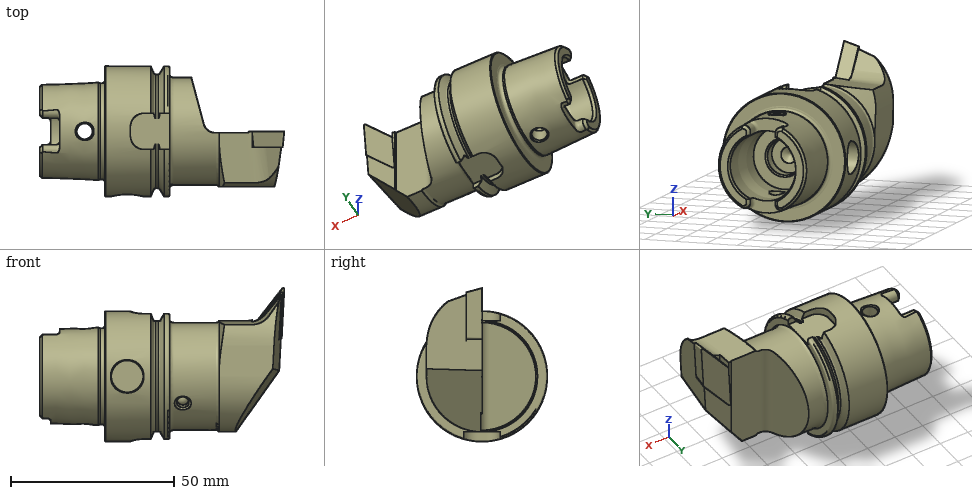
import cadquery as cq
import math


SHANK_CHAMFER = 0.75
SHANK_FRONT_RADIUS = 14.3
SHANK_REAR_RADIUS = 15.0
SHANK_TAPER_END = 17.9
RELIEF_RADIUS = 14.75
RELIEF_START = 18.6
RELIEF_END = 19.2
RELIEF_FILLET_END = 19.9
RELIEF_FILLET_RADIUS = 0.8
RELIEF_OUTER_RADIUS = 15.65
RELIEF_RIM_RADIUS = 16.0

FLANGE_RADIUS = 20.0
FLANGE_FRONT = 20.0
FLANGE_REAR = 39.85
FLANGE_CHAMFER = 0.2
FLANGE_REAR_FILLET = 0.7
GROOVE_FRONT = 34.0
GROOVE_FLOOR_FRONT = 35.0
GROOVE_FLOOR_REAR = 36.8
GROOVE_REAR = 38.1
GROOVE_RADIUS = 17.45
GROOVE_WALL_FOOT_RADIUS = 17.8
GROOVE_FILLET_LENGTH = 0.5
GROOVE_FILLET_RADIUS = 0.6

NECK_RADIUS = 16.5
NECK_FILLET_RADIUS = 1.5
NECK_FILLET_LENGTH = 1.1
NECK_FILLET_HEIGHT = 0.5
NECK_END = 54.0
HEAD_FILLET_RADIUS = 1.05
HEAD_RADIUS = 17.0
HEAD_START = 54.9
BODY_REACH = 76.4

BORE_MOUTH_RADIUS = 11.1
BORE_RADIUS = 10.6
BORE_CHAMFER = 1.05
BORE_CONE_START = 8.2
BORE_CONE_END = 13.6
BORE_INNER_RADIUS = 9.9
BORE_DEPTH = 20.0
COOLANT_MOUTH_RADIUS = 6.1
COOLANT_RADIUS = 5.55
COOLANT_DEPTH = 4.5
CENTER_DRILL_RADIUS = 2.55
CENTER_DRILL_CONE = 1.5

KEYWAY_HALF_WIDTH = 4.05
KEYWAY_EDGE_RADIUS = 1.9
KEYWAY_SHOULDER_HEIGHT = 12.9
KEYWAY_ROOT_RADIUS = 1.0
KEYWAY_CHAMFER = 1.0
KEYWAY_DEPTH_TOP = 6.15
KEYWAY_DEPTH_BOTTOM = 3.4

CROSS_HOLE_X = 13.8
CROSS_HOLE_RADIUS = 2.4
CROSS_HOLE_SINK_RADIUS = 2.85
CROSS_HOLE_MOUTH = 14.7

POCKET_START = 27.8
POCKET_HALF_WIDTH = 5.55
POCKET_CORNER_RADIUS = 4.2
POCKET_FLOOR = 17.0

SIDE_HOLE_X = 26.8
SIDE_HOLE_RADIUS = 5.1
SIDE_HOLE_FLOOR_Y = -14.3
SIDE_HOLE_FLOOR_CHAMFER = 0.2

BALL_X = 43.8
BALL_ANGLE = 30.0
BALL_RADIUS = 1.9
BALL_CENTER_RADIUS = 13.8
BALL_HOLE_CHAMFER = 0.7

INSERT_ANGLE = 35.0
INSERT_SIDE = 16.1
INSERT_THICKNESS = 4.9
INSERT_CLEARANCE = 5.0
INSERT_NOSE_RADIUS = 0.4
LEAD_ANGLE = 3.0
TOOL_LENGTH = 74.9
TIP_HEIGHT = 27.05

HEAD_RISE = 9.5
SHOULDER_SLOPE = 0.31
GASH_FLOOR = 17.1
GASH_FLOOR_END = 63.45
GASH_RADIUS = 7.0
GASH_ANGLE = math.radians(50.5)
GASH_DRIFT = cq.Vector(0.09, -1, -0.08)
END_FACE_X = 73.25
END_FACE_DRIFT = cq.Vector(-0.12, -1, 0)
END_FACE_FOOT = 1.8
HEEL_ANGLE = 54.7
HEEL_DRIFT = cq.Vector(-0.14, -1, 0)

RELIEF_TOP_X = 46.45
RELIEF_SLOPE_ANGLE = 75.0
RELIEF_FILLET = 3.45
HEAD_FACE_Y = -0.4
PAD_STEP_X = 63.75

MARGIN = 3.75
OUTSIDE = FLANGE_RADIUS + MARGIN
LEAD_SLOPE = math.tan(math.radians(LEAD_ANGLE))
FLANK_ANGLE = math.radians(90 - LEAD_ANGLE - INSERT_ANGLE)


def sweep_from_rake_plane(profile, drift, depth):
    """Prism on an XZ profile, running to Y = -depth along a slanted direction."""
    return cq.Workplane(cq.Solid.extrudeLinear(profile.val(), [], drift * depth))


def make_turned_body():
    return (
        cq.Workplane("XZ")
        .lineTo(0, SHANK_FRONT_RADIUS - SHANK_CHAMFER)
        .lineTo(SHANK_CHAMFER, SHANK_FRONT_RADIUS)
        .lineTo(SHANK_TAPER_END, SHANK_REAR_RADIUS)
        .lineTo(RELIEF_START, RELIEF_RADIUS)
        .lineTo(RELIEF_END, RELIEF_RADIUS)
        .radiusArc((RELIEF_FILLET_END, RELIEF_OUTER_RADIUS), -RELIEF_FILLET_RADIUS)
        .lineTo(FLANGE_FRONT, RELIEF_RIM_RADIUS)
        .lineTo(FLANGE_FRONT, FLANGE_RADIUS - FLANGE_CHAMFER)
        .lineTo(FLANGE_FRONT + FLANGE_CHAMFER, FLANGE_RADIUS)
        .lineTo(GROOVE_FRONT, FLANGE_RADIUS)
        .lineTo(GROOVE_FLOOR_FRONT, GROOVE_WALL_FOOT_RADIUS)
        .radiusArc((GROOVE_FLOOR_FRONT + GROOVE_FILLET_LENGTH, GROOVE_RADIUS), -GROOVE_FILLET_RADIUS)
        .lineTo(GROOVE_FLOOR_REAR - GROOVE_FILLET_LENGTH, GROOVE_RADIUS)
        .radiusArc((GROOVE_FLOOR_REAR, GROOVE_WALL_FOOT_RADIUS), -GROOVE_FILLET_RADIUS)
        .lineTo(GROOVE_REAR, FLANGE_RADIUS)
        .lineTo(FLANGE_REAR - FLANGE_REAR_FILLET, FLANGE_RADIUS)
        .radiusArc((FLANGE_REAR, FLANGE_RADIUS - FLANGE_REAR_FILLET), FLANGE_REAR_FILLET)
        .lineTo(FLANGE_REAR, NECK_RADIUS + NECK_FILLET_HEIGHT)
        .radiusArc((FLANGE_REAR + NECK_FILLET_LENGTH, NECK_RADIUS), -NECK_FILLET_RADIUS)
        .lineTo(NECK_END, NECK_RADIUS)
        .radiusArc((HEAD_START, HEAD_RADIUS), -HEAD_FILLET_RADIUS)
        .lineTo(BODY_REACH, HEAD_RADIUS)
        .lineTo(BODY_REACH, 0)
        .close()
        .revolve(360, (0, 0, 0), (1, 0, 0))
    )


def make_bore():
    coolant_sink = COOLANT_MOUTH_RADIUS - COOLANT_RADIUS
    coolant_floor = BORE_DEPTH + COOLANT_DEPTH
    return (
        cq.Workplane("XZ")
        .lineTo(0, BORE_MOUTH_RADIUS)
        .lineTo(BORE_CHAMFER, BORE_RADIUS)
        .lineTo(BORE_CONE_START, BORE_RADIUS)
        .lineTo(BORE_CONE_END, BORE_INNER_RADIUS)
        .lineTo(BORE_DEPTH, BORE_INNER_RADIUS)
        .lineTo(BORE_DEPTH, COOLANT_MOUTH_RADIUS)
        .lineTo(BORE_DEPTH + coolant_sink, COOLANT_RADIUS)
        .lineTo(coolant_floor, COOLANT_RADIUS)
        .lineTo(coolant_floor, CENTER_DRILL_RADIUS)
        .lineTo(coolant_floor + CENTER_DRILL_CONE, 0)
        .close()
        .revolve(360, (0, 0, 0), (1, 0, 0))
    )


def keyway_outline():
    """Upper keyway section: a slot whose outer edges round over into flat shoulders."""
    wall_top = KEYWAY_SHOULDER_HEIGHT - KEYWAY_EDGE_RADIUS
    shoulder_start = KEYWAY_HALF_WIDTH + KEYWAY_EDGE_RADIUS
    return (
        cq.Workplane("YZ")
        .moveTo(-KEYWAY_HALF_WIDTH, 0)
        .lineTo(KEYWAY_HALF_WIDTH, 0)
        .lineTo(KEYWAY_HALF_WIDTH, wall_top)
        .radiusArc((shoulder_start, KEYWAY_SHOULDER_HEIGHT), KEYWAY_EDGE_RADIUS)
        .lineTo(SHANK_REAR_RADIUS, KEYWAY_SHOULDER_HEIGHT)
        .lineTo(SHANK_REAR_RADIUS, OUTSIDE)
        .lineTo(-SHANK_REAR_RADIUS, OUTSIDE)
        .lineTo(-SHANK_REAR_RADIUS, KEYWAY_SHOULDER_HEIGHT)
        .lineTo(-shoulder_start, KEYWAY_SHOULDER_HEIGHT)
        .radiusArc((-KEYWAY_HALF_WIDTH, wall_top), KEYWAY_EDGE_RADIUS)
        .close()
    )


def make_keyway(depth):
    slot = keyway_outline().extrude(depth).faces(">X").edges().fillet(KEYWAY_ROOT_RADIUS)
    mouth = keyway_outline().offset2D(KEYWAY_CHAMFER).extrude(KEYWAY_CHAMFER, taper=45)
    return slot.union(mouth)


def make_cross_hole():
    """Hole through both walls of the shank, with a conical sink at each mouth."""
    sink_floor = CROSS_HOLE_MOUTH - (CROSS_HOLE_SINK_RADIUS - CROSS_HOLE_RADIUS)
    upper_half = (
        cq.Workplane("XZ", origin=(CROSS_HOLE_X, 0, 0))
        .lineTo(CROSS_HOLE_RADIUS, 0)
        .lineTo(CROSS_HOLE_RADIUS, sink_floor)
        .lineTo(CROSS_HOLE_SINK_RADIUS, CROSS_HOLE_MOUTH)
        .lineTo(CROSS_HOLE_SINK_RADIUS, OUTSIDE)
        .lineTo(0, OUTSIDE)
        .close()
        .revolve(360, (0, 0, 0), (0, 1, 0))
    )
    return upper_half.union(upper_half.mirror("XY"))


def make_flange_pocket():
    length = FLANGE_REAR + MARGIN - POCKET_START
    return (
        cq.Workplane("XY", origin=(POCKET_START + length / 2, 0, POCKET_FLOOR))
        .rect(length, 2 * POCKET_HALF_WIDTH)
        .extrude(MARGIN)
        .edges("|Z and <X")
        .fillet(POCKET_CORNER_RADIUS)
    )


def make_side_hole():
    return (
        cq.Workplane("XZ", origin=(SIDE_HOLE_X, SIDE_HOLE_FLOOR_Y, 0))
        .circle(SIDE_HOLE_RADIUS)
        .extrude(OUTSIDE)
        .faces(">Y")
        .edges()
        .chamfer(SIDE_HOLE_FLOOR_CHAMFER)
    )


def gash_profile():
    """Section of the raised head below its gash: floor, fillet and slope up to the tip."""
    arc_end_x = GASH_FLOOR_END + GASH_RADIUS * math.sin(GASH_ANGLE)
    arc_end_z = GASH_FLOOR + GASH_RADIUS * (1 - math.cos(GASH_ANGLE))
    top = TIP_HEIGHT + 2 * MARGIN
    top_x = arc_end_x + (top - arc_end_z) / math.tan(GASH_ANGLE)
    return (
        cq.Workplane("XZ")
        .moveTo(FLANGE_REAR, -MARGIN)
        .lineTo(FLANGE_REAR, GASH_FLOOR)
        .lineTo(GASH_FLOOR_END, GASH_FLOOR)
        .radiusArc((arc_end_x, arc_end_z), -GASH_RADIUS)
        .lineTo(top_x, top)
        .lineTo(top_x, -MARGIN)
        .close()
    )


def make_shoulder_cut():
    """Ring in front of the conical shoulder where the raised head rises above the round body."""
    outer_radius = HEAD_RISE + HEAD_RADIUS
    return (
        cq.Workplane("XZ")
        .moveTo(FLANGE_REAR, HEAD_RADIUS)
        .lineTo(HEAD_START, HEAD_RADIUS)
        .lineTo(HEAD_START + SHOULDER_SLOPE * (outer_radius - HEAD_RADIUS), outer_radius)
        .lineTo(FLANGE_REAR, outer_radius)
        .close()
        .revolve(360, (0, 0, 0), (1, 0, 0))
    )


def make_raised_head():
    """The round flank of the head carried upward, with the gash cut above it."""
    flank = (
        cq.Workplane("YZ", origin=(HEAD_START, 0, 0))
        .lineTo(-HEAD_RADIUS, 0)
        .lineTo(-HEAD_RADIUS, HEAD_RISE)
        .radiusArc((0, HEAD_RISE + HEAD_RADIUS), HEAD_RADIUS)
        .close()
        .extrude(BODY_REACH - HEAD_START)
    )
    below_gash = sweep_from_rake_plane(gash_profile(), GASH_DRIFT, OUTSIDE)
    return flank.intersect(below_gash).cut(make_shoulder_cut())


def make_back_relief():
    """Everything beside the head on the +Y side, with a sloped and filleted run-out."""
    slope = math.radians(RELIEF_SLOPE_ANGLE)
    corner_x = RELIEF_TOP_X + (NECK_RADIUS - HEAD_FACE_Y) / math.tan(slope)
    outer_x = RELIEF_TOP_X - (OUTSIDE - NECK_RADIUS) / math.tan(slope)
    pad_x = PAD_STEP_X - HEAD_FACE_Y
    return (
        cq.Workplane("XY", origin=(0, 0, -OUTSIDE))
        .moveTo(outer_x, OUTSIDE)
        .lineTo(corner_x, HEAD_FACE_Y)
        .lineTo(PAD_STEP_X, HEAD_FACE_Y)
        .lineTo(pad_x, 0)
        .lineTo(BODY_REACH + MARGIN, 0)
        .lineTo(BODY_REACH + MARGIN, OUTSIDE)
        .close()
        .extrude(2 * OUTSIDE + MARGIN)
        .edges(cq.selectors.NearestToPointSelector((corner_x, HEAD_FACE_Y, 0)))
        .fillet(RELIEF_FILLET)
    )


def make_end_face_cut():
    top = TIP_HEIGHT + 2 * MARGIN
    far = BODY_REACH + 2 * MARGIN
    profile = (
        cq.Workplane("XZ")
        .moveTo(END_FACE_X - LEAD_SLOPE * OUTSIDE, -OUTSIDE)
        .lineTo(END_FACE_X + LEAD_SLOPE * top, top)
        .lineTo(far, top)
        .lineTo(far, -OUTSIDE)
        .close()
    )
    return sweep_from_rake_plane(profile, END_FACE_DRIFT, OUTSIDE)


def make_heel_cut():
    """Sloped cut below the end face."""
    foot_x = END_FACE_X + LEAD_SLOPE * END_FACE_FOOT
    run = 1 / math.tan(math.radians(HEEL_ANGLE))
    far = BODY_REACH + 2 * MARGIN
    profile = (
        cq.Workplane("XZ")
        .moveTo(foot_x - run * (END_FACE_FOOT + OUTSIDE), -OUTSIDE)
        .lineTo(far, END_FACE_FOOT + (far - foot_x) / run)
        .lineTo(far, -OUTSIDE)
        .close()
    )
    return sweep_from_rake_plane(profile, HEEL_DRIFT, OUTSIDE)


def insert_corners():
    """Sharp corners of the rhombus in XZ; the rounded tip touches TOOL_LENGTH and TIP_HEIGHT."""
    half = math.radians(INSERT_ANGLE / 2)
    lead = math.radians(LEAD_ANGLE)
    center_to_corner = INSERT_NOSE_RADIUS / math.sin(half)
    tip_x = TOOL_LENGTH - INSERT_NOSE_RADIUS + center_to_corner * math.sin(lead + half)
    tip_z = TIP_HEIGHT - INSERT_NOSE_RADIUS + center_to_corner * math.cos(lead + half)
    back_x = INSERT_SIDE * math.cos(FLANK_ANGLE)
    back_z = INSERT_SIDE * math.sin(FLANK_ANGLE)
    down_x = INSERT_SIDE * math.sin(lead)
    down_z = INSERT_SIDE * math.cos(lead)
    return [
        (tip_x, tip_z),
        (tip_x - back_x, tip_z - back_z),
        (tip_x - back_x - down_x, tip_z - back_z - down_z),
        (tip_x - down_x, tip_z - down_z),
    ]


def make_insert():
    return (
        cq.Workplane("XZ")
        .polyline(insert_corners())
        .close()
        .extrude(INSERT_THICKNESS, taper=INSERT_CLEARANCE)
        .edges("not #Y")
        .fillet(INSERT_NOSE_RADIUS)
    )


def make_insert_opening():
    """Open space above the insert, reaching down into the room that its tapered side fills."""
    tip, back = insert_corners()[:2]
    overlap = INSERT_THICKNESS * math.tan(math.radians(INSERT_CLEARANCE)) / math.cos(FLANK_ANGLE)
    top = TIP_HEIGHT + MARGIN
    return (
        cq.Workplane("XZ")
        .polyline([(tip[0], tip[1] - overlap), (tip[0], top), (back[0], top), (back[0], back[1] - overlap)])
        .close()
        .extrude(INSERT_THICKNESS)
    )


def turn_to_ball_axis(shape):
    """Moves a shape built around the Z axis at X = 0 to the place of the coolant ball."""
    return shape.rotate((0, 0, 0), (1, 0, 0), 90 + BALL_ANGLE).translate((BALL_X, 0, 0))


def make_ball():
    ball = cq.Workplane("XY").sphere(BALL_RADIUS).translate((0, 0, BALL_CENTER_RADIUS))
    return turn_to_ball_axis(ball)


def make_ball_hole():
    """Round seat for the ball, open to the outside and countersunk at the neck surface."""
    seat_bottom = BALL_CENTER_RADIUS - BALL_RADIUS
    sink_start = NECK_RADIUS - BALL_HOLE_CHAMFER
    sink_radius = BALL_RADIUS + BALL_HOLE_CHAMFER
    hole = (
        cq.Workplane("XZ")
        .moveTo(0, seat_bottom)
        .radiusArc((BALL_RADIUS, BALL_CENTER_RADIUS), -BALL_RADIUS)
        .lineTo(BALL_RADIUS, sink_start)
        .lineTo(sink_radius, NECK_RADIUS)
        .lineTo(sink_radius, OUTSIDE)
        .lineTo(0, OUTSIDE)
        .close()
        .revolve(360, (0, 0, 0), (0, 1, 0))
    )
    return turn_to_ball_axis(hole)


def make_holder():
    pocket = make_flange_pocket()
    lower_keyway = make_keyway(KEYWAY_DEPTH_BOTTOM).mirror("XY")
    return (
        make_turned_body()
        .cut(make_bore())
        .cut(make_keyway(KEYWAY_DEPTH_TOP))
        .cut(lower_keyway)
        .cut(make_cross_hole())
        .cut(pocket)
        .cut(pocket.mirror("XY"))
        .cut(make_side_hole())
        .cut(make_ball_hole())
        .union(make_raised_head())
        .cut(make_back_relief())
        .cut(make_end_face_cut())
        .cut(make_heel_cut())
        .cut(make_insert_opening())
        .cut(make_insert())
    )


holder = make_holder()
insert = make_insert()
ball = make_ball()

result = cq.Compound.makeCompound([holder.val(), insert.val(), ball.val()])